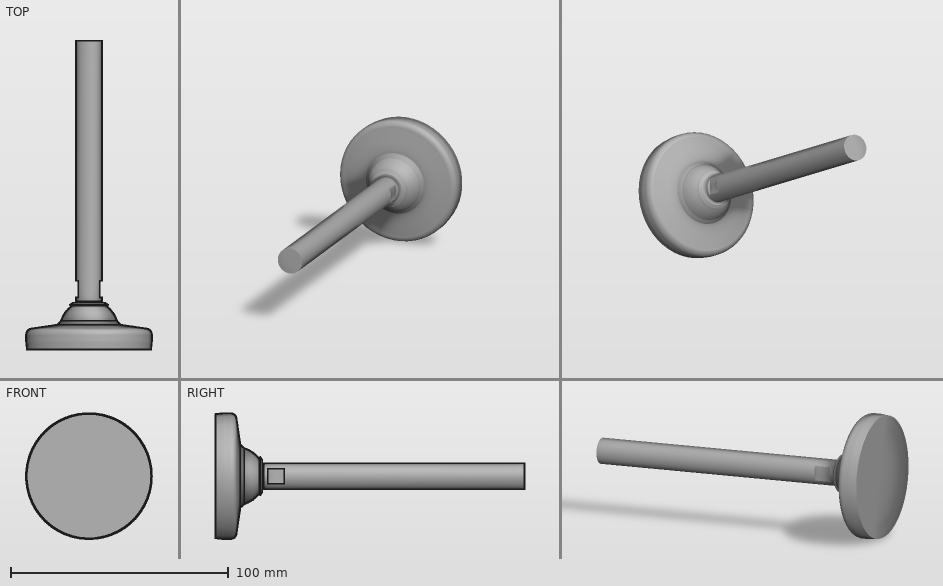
import cadquery as cq
import math

total_length = 142.0

foot_radius = 29.0
sole_radius = 28.5
taper_height = 3.8
shoulder_radius = 3.0
shoulder_start = 6.8
shoulder_top = shoulder_start + shoulder_radius
slope_inner_radius = 14.5
slope_top = 11.5
dome_radius = 13.5
dome_center = 9.2
dome_start = 13.2
dome_end = 20.2
lip_radius = 8.8
lip_height = 20.6
foot_top_radius = 7.2
foot_top = 21.6

rod_diameter = 12.0
rod_start = 22.3
neck_radius = 5.5
neck_end = dome_center
flat_spacing = 10.0
flat_start = 24.0
flat_length = 7.7


def dome_radius_at(height):
    """Radius of the socket dome at a height along Y."""
    return math.sqrt(dome_radius**2 - (height - dome_center) ** 2)


def make_foot():
    """Revolve the foot profile about Y and bore the blind hole for the neck."""
    shoulder_inset = shoulder_radius * (1 - math.sqrt(0.5))
    dome_middle = (dome_start + dome_end) / 2
    profile = (
        cq.Workplane("XY")
        .moveTo(0, 0)
        .lineTo(sole_radius, 0)
        .lineTo(foot_radius, taper_height)
        .lineTo(foot_radius, shoulder_start)
        .threePointArc(
            (foot_radius - shoulder_inset, shoulder_top - shoulder_inset),
            (foot_radius - shoulder_radius, shoulder_top),
        )
        .lineTo(slope_inner_radius, slope_top)
        .lineTo(dome_radius_at(dome_start), dome_start)
        .threePointArc(
            (dome_radius_at(dome_middle), dome_middle),
            (dome_radius_at(dome_end), dome_end),
        )
        .lineTo(lip_radius, lip_height)
        .lineTo(foot_top_radius, foot_top)
        .lineTo(neck_radius, foot_top)
        .lineTo(neck_radius, neck_end)
        .lineTo(0, neck_end)
        .close()
    )
    return profile.revolve(360, (0, 0, 0), (0, 1, 0))


def make_spindle():
    """Revolve the stepped rod about Y and cut the two wrench flats."""
    rod_radius = rod_diameter / 2
    spindle = (
        cq.Workplane("XY")
        .moveTo(0, neck_end)
        .lineTo(neck_radius, neck_end)
        .lineTo(neck_radius, rod_start)
        .lineTo(rod_radius, rod_start)
        .lineTo(rod_radius, total_length)
        .lineTo(0, total_length)
        .close()
        .revolve(360, (0, 0, 0), (0, 1, 0))
    )
    for side in (-1, 1):
        cutter = cq.Workplane("XY").box(rod_diameter, flat_length, rod_diameter).translate(
            (side * (flat_spacing + rod_diameter) / 2, flat_start + flat_length / 2, 0)
        )
        spindle = spindle.cut(cutter)
    return spindle


foot = make_foot()
spindle = make_spindle()
result = cq.Compound.makeCompound([foot.val(), spindle.val()])